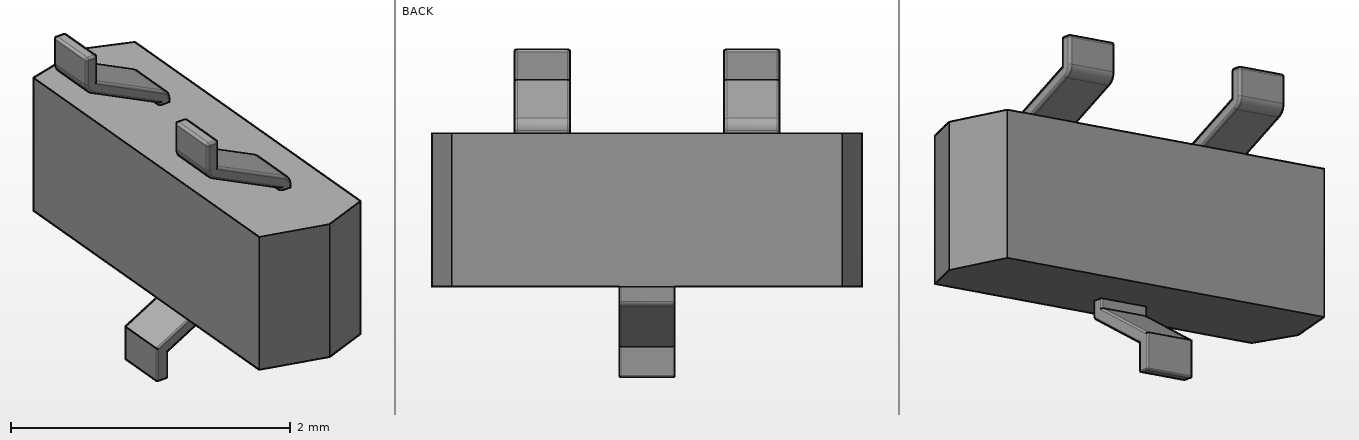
import cadquery as cq
import math


housing_width = 3.08
housing_height = 1.1
end_inset = 0.142
housing_back = 0.373
housing_front = -0.517

lead_width = 0.4
lead_thickness = 0.1

upper_pitch = 1.5
upper_rise = 0.6
upper_root_back = 0.085
upper_foot_front = -0.655
upper_root_length = 0.02
upper_foot_length = 0.22
upper_edge_radius = 0.02

lower_drop = 0.65
lower_root_back = 0.092
lower_foot_front = -0.567
lower_foot_start = 0.373
lower_slope_angle = 28.3
lower_bend_radius = 0.04
lower_edge_radius = 0.014


def make_housing_block():
    half_width = housing_width / 2
    half_flat = half_width - end_inset
    outline = [
        (-half_flat, housing_front),
        (half_flat, housing_front),
        (half_width, 0),
        (half_flat, housing_back),
        (-half_flat, housing_back),
        (-half_width, 0),
    ]
    return cq.Workplane("XY").polyline(outline).close().extrude(housing_height)


def round_lead_edges(lead, tip, root, radius):
    side_edges = lead.faces("<X or >X").edges("not " + root)
    tip_edges = lead.faces(tip).edges("|X")
    return side_edges.add(tip_edges).fillet(radius)


def make_lower_lead():
    slope = math.tan(math.radians(lower_slope_angle))
    root_front = lower_root_back - lead_thickness
    foot_back = lower_foot_front + lead_thickness
    slant_depth = lead_thickness / math.cos(math.radians(lower_slope_angle))

    slant_top = -lower_foot_start
    root_bend_inside = slant_top + slope * (root_front - lower_foot_front)
    foot_bend_inside = slant_top + slope * lead_thickness - slant_depth
    root_bend_outside = root_bend_inside + slope * lead_thickness - slant_depth

    outline = [
        (lower_root_back, 0),
        (root_front, 0),
        (root_front, root_bend_inside),
        (lower_foot_front, slant_top),
        (lower_foot_front, -lower_drop),
        (foot_back, -lower_drop),
        (foot_back, foot_bend_inside),
        (lower_root_back, root_bend_outside),
    ]
    lead = cq.Workplane("YZ").polyline(outline).close().extrude(lead_width / 2, both=True)
    root_bend = cq.selectors.NearestToPointSelector((0, *outline[-1]))
    lead = lead.edges("|X").edges(root_bend).fillet(lower_bend_radius)
    return round_lead_edges(lead, "<Z", ">Z", lower_edge_radius)


def make_housing():
    return make_housing_block().union(make_lower_lead())


def make_upper_lead(center_x):
    root_corner_y = upper_root_back - lead_thickness
    root_corner_z = housing_height + upper_root_length
    foot_corner_y = upper_foot_front + lead_thickness
    lead_end = housing_height + upper_rise
    foot_corner_z = lead_end - upper_foot_length

    run = root_corner_y - foot_corner_y
    climb = foot_corner_z - root_corner_z
    slant_angle = math.atan2(climb, run) - math.asin(lead_thickness / math.hypot(run, climb))
    offset_y = lead_thickness * math.sin(slant_angle)
    offset_z = lead_thickness * math.cos(slant_angle)
    half_turn = (math.pi / 2 - slant_angle) / 2
    mid_y = lead_thickness * math.cos(half_turn)
    mid_z = lead_thickness * math.sin(half_turn)

    lead = (
        cq.Workplane("YZ", origin=(center_x, 0, 0))
        .moveTo(root_corner_y, housing_height)
        .lineTo(root_corner_y, root_corner_z)
        .lineTo(foot_corner_y - offset_y, foot_corner_z - offset_z)
        .threePointArc(
            (foot_corner_y - mid_y, foot_corner_z - mid_z),
            (upper_foot_front, foot_corner_z),
        )
        .lineTo(upper_foot_front, lead_end)
        .lineTo(foot_corner_y, lead_end)
        .lineTo(foot_corner_y, foot_corner_z)
        .lineTo(root_corner_y + offset_y, root_corner_z + offset_z)
        .threePointArc(
            (root_corner_y + mid_y, root_corner_z + mid_z),
            (upper_root_back, root_corner_z),
        )
        .lineTo(upper_root_back, housing_height)
        .close()
        .extrude(lead_width / 2, both=True)
    )
    return round_lead_edges(lead, ">Z", "<Z", upper_edge_radius)


housing = make_housing()
upper_leads = [make_upper_lead(side * upper_pitch / 2) for side in (-1, 1)]

result = cq.Compound.makeCompound([housing.val(), *(lead.val() for lead in upper_leads)])